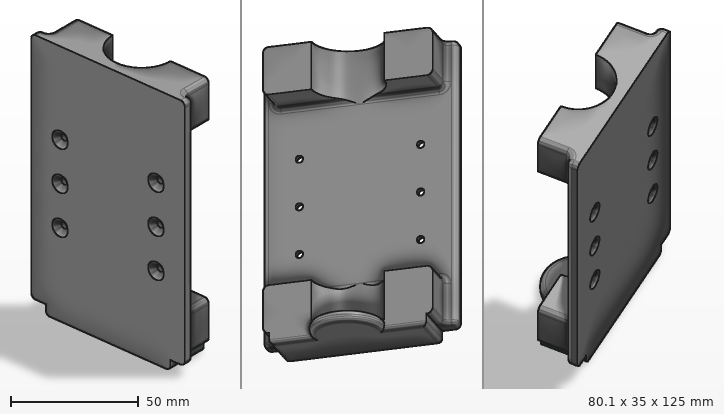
import cadquery as cq

width = 80.1
height = 125.0
plate_thickness = 5.0
stop_height = 4.9
body_height = height - stop_height
edge_radius = 2.4
root_radius = 2.5

block_height = 20.0
block_depth = 20.0
block_width = 70.0
saddle_radius = block_depth - plate_thickness

foot_width = 64.8
stop_radius = 2.0

hole_diameter = 3.0
countersink_diameter = 8.1
countersink_angle = 90.0
hole_columns = 2
hole_rows = 3
hole_spacing_x = 50.0
hole_spacing_z = 20.0

tolerance = 0.01


def box(size_x, size_y, bottom, size_z):
    """Box centred in X, with its front face on Y = 0."""
    return cq.Workplane("XY", origin=(0, size_y / 2, bottom)).rect(size_x, size_y).extrude(size_z)


def box_selector(x_range, y_range, z_range):
    """Select edges whose centre lies in the given ranges."""
    low, high = zip(x_range, y_range, z_range)
    return cq.selectors.BoxSelector(low, high)


def make_body():
    block_bottoms = (stop_height, height - block_height)
    body = box(width, plate_thickness, stop_height, body_height)
    for bottom in block_bottoms:
        block = box(block_width, block_depth, bottom, block_height)
        inner_side = ">Z" if bottom == stop_height else "<Z"
        block = block.faces(inner_side).edges("|Y").fillet(edge_radius)
        body = body.union(block)

    half_block = block_width / 2 + tolerance
    at_plate_back = (plate_thickness - tolerance, plate_thickness + tolerance)
    inside_ends = (stop_height + tolerance, height - tolerance)
    body = body.edges(
        box_selector((-half_block, half_block), at_plate_back, inside_ends)
    ).fillet(root_radius)

    for side in ("<X", ">X"):
        body = body.faces(side).edges(">Y").fillet(edge_radius)

    flat_half = block_width / 2 - edge_radius
    for end in (stop_height, height):
        at_end = (end - tolerance, end + tolerance)
        depth_range = (tolerance, block_depth - tolerance)
        left = box_selector((-width, -flat_half), depth_range, at_end)
        right = box_selector((flat_half, width), depth_range, at_end)
        body = body.edges(left + right).fillet(edge_radius)

    saddle = cq.Workplane("XY").center(0, block_depth).circle(saddle_radius).extrude(height)
    return body.cut(saddle)


def make_stop():
    foot = box(foot_width, block_depth, 0, stop_height)
    tongue = cq.Workplane("XY").center(0, block_depth).circle(saddle_radius).extrude(stop_height)
    stop = foot.union(tongue)
    stop = stop.faces("<Z").edges("not(<Y)").fillet(stop_radius)
    top_rim = box_selector(
        (-saddle_radius, saddle_radius),
        (block_depth + tolerance, block_depth + saddle_radius + tolerance),
        (stop_height - tolerance, stop_height + tolerance),
    )
    return stop.edges(top_rim).fillet(stop_radius)


def drill_screw_holes(body):
    return (
        body.copyWorkplane(cq.Workplane("XZ", origin=(0, 0, height / 2)))
        .rarray(hole_spacing_x, hole_spacing_z, hole_columns, hole_rows)
        .cskHole(hole_diameter, countersink_diameter, countersink_angle, plate_thickness)
    )


result = drill_screw_holes(make_body().union(make_stop()))